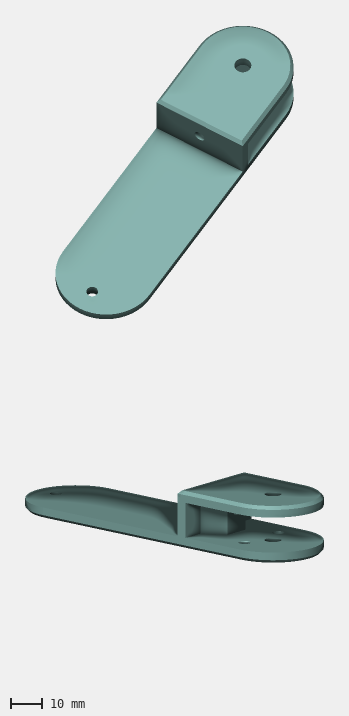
import cadquery as cq
import math

length = 114.0
width = 32.0
height = 18.5
end_radius = width / 2
plate = 3.5
edge_chamfer = 1.0

y_max = length / 2
pivot_y = y_max - end_radius
wall_front_y = 15.0
wall_thickness = 3.3
wall_back_y = wall_front_y + wall_thickness
upper_bottom_z = height - plate

boss_depth = 7.5
boss_half_base = boss_depth / math.cos(math.radians(30))
boss_half_tip = boss_half_base / 2

screw_diameter = 3.6
pivot_diameter = 5.4
wall_hole_z = 11.0
end_hole_inset = 7.6

dimple_sphere_radius = 2.3
dimple_rim_radius = 1.9
dimple_circle_radius = 9.5
dimple_angles = (210, 330)


def make_base():
    """Long plate with round ends, chamfered around its underside."""
    outline = cq.Workplane("XY").slot2D(length, width, 90)
    return outline.extrude(plate).faces("<Z").chamfer(edge_chamfer)


def make_upper_arm():
    """Plate with one round end and a wall at its square end, chamfered on top."""
    arm = (
        cq.Workplane("XY")
        .moveTo(-end_radius, wall_front_y)
        .lineTo(end_radius, wall_front_y)
        .lineTo(end_radius, pivot_y)
        .threePointArc((0, y_max), (-end_radius, pivot_y))
        .close()
        .extrude(plate)
        .translate((0, 0, upper_bottom_z))
        .faces(">Z")
        .chamfer(edge_chamfer)
    )
    wall_bottom_z = plate / 2
    wall = cq.Workplane("XY").box(
        width, wall_thickness, upper_bottom_z - wall_bottom_z, centered=(True, False, False)
    )
    return arm.union(wall.translate((0, wall_front_y, wall_bottom_z)))


def make_boss():
    """Tapered block behind the wall, filling the gap between the plates."""
    tip_y = wall_back_y + boss_depth
    return (
        cq.Workplane("XY")
        .workplane(offset=plate)
        .polyline([
            (-boss_half_base, wall_back_y),
            (boss_half_base, wall_back_y),
            (boss_half_tip, tip_y),
            (-boss_half_tip, tip_y),
        ])
        .close()
        .extrude(upper_bottom_z - plate)
    )


def vertical_hole(diameter, x, y, bottom_z, depth):
    """Upright cylinder that cuts a hole."""
    return cq.Workplane("XY").circle(diameter / 2).extrude(depth).translate((x, y, bottom_z))


body = make_base().union(make_upper_arm()).union(make_boss())

body = body.cut(vertical_hole(pivot_diameter, 0, pivot_y, 0, height))

dimple_sphere_z = plate + math.sqrt(dimple_sphere_radius**2 - dimple_rim_radius**2)
for angle in dimple_angles:
    dimple_x = dimple_circle_radius * math.cos(math.radians(angle))
    dimple_y = pivot_y + dimple_circle_radius * math.sin(math.radians(angle))
    ball = cq.Workplane("XY").sphere(dimple_sphere_radius)
    dimple_tool = ball.translate((dimple_x, dimple_y, dimple_sphere_z))
    lower_space = cq.Workplane("XY").box(width, length, plate, centered=(True, True, False))
    body = body.cut(dimple_tool.intersect(lower_space))

body = body.cut(vertical_hole(screw_diameter, 0, end_hole_inset - y_max, 0, plate))

wall_hole = (
    cq.Workplane("XZ", origin=(0, wall_front_y, wall_hole_z))
    .circle(screw_diameter / 2)
    .extrude(-(wall_thickness + boss_depth))
)
result = body.cut(wall_hole)